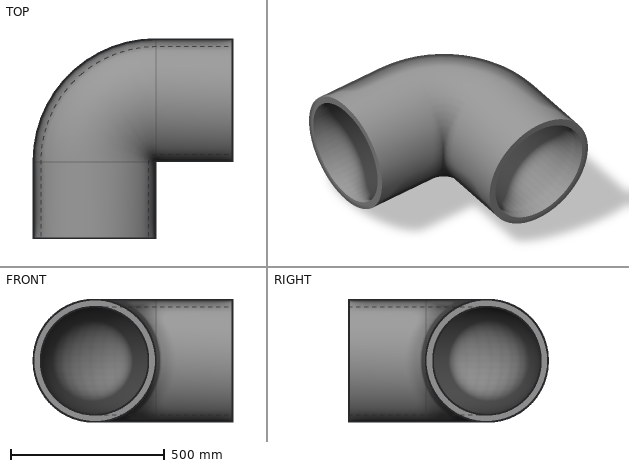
import cadquery as cq

outer_diameter = 400.0
wall_thickness = 23.7
overall_length = 651.0
bend_angle = 90.0
throat_radius = 0.01

outer_radius = outer_diameter / 2
inner_radius = outer_radius - wall_thickness
bend_radius = outer_radius + throat_radius
leg_length = overall_length - outer_radius - bend_radius


def front_section(radius):
    """Circular section at the origin, where the front leg meets the bend, facing -Y.

    Its local x runs along -X and its local y along -Z, so the circle starts and ends
    (its seam) on the outside of the bend.
    """
    section_plane = cq.Plane(origin=(0, 0, 0), xDir=(-1, 0, 0), normal=(0, -1, 0))
    return cq.Workplane(section_plane).circle(radius)


def elbow(radius):
    """Solid round elbow of the given radius, with straight legs toward -Y and +X."""
    front_leg = front_section(radius).extrude(leg_length)

    bend = front_section(radius).revolve(bend_angle, (-bend_radius, 0), (-bend_radius, 1))

    side_leg = (
        cq.Workplane("YZ", origin=(bend_radius, bend_radius, 0))
        .circle(radius)
        .extrude(leg_length)
    )
    return front_leg.union(bend).union(side_leg)


result = elbow(outer_radius).cut(elbow(inner_radius))